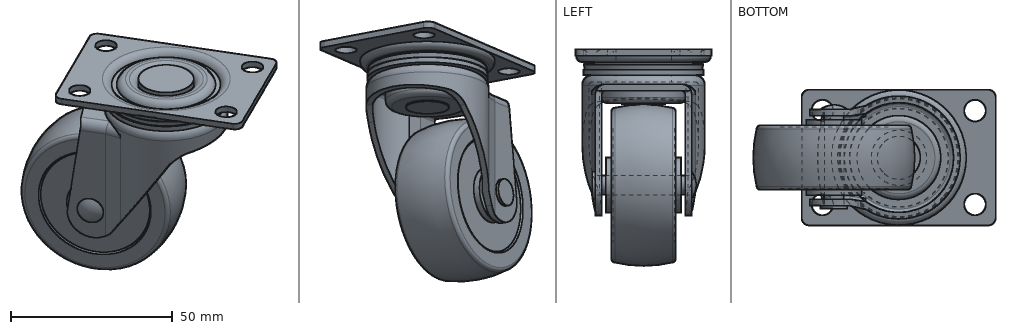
import cadquery as cq
import math


plate_length = 60.0
plate_width = 42.0
plate_thickness = 2.0
plate_corner_radius = 2.5
bolt_spacing_x = 47.1
bolt_spacing_y = 28.95
bolt_hole_radius = 3.3
dish_rim_radius = 19.7
dish_floor_radius = 16.8
dish_outer_radius = 20.85
dish_base_radius = 19.0
bead_outer_radius = 15.3
bead_crest_outer_radius = 12.6
bead_crest_inner_radius = 11.4

stem_radius = 8.55
collar_radius = 15.15
collar_height = 0.2
upper_ring_top_radius = 18.2
upper_ring_rim_radius = 18.45
upper_ring_waist_radius = 18.15
upper_ring_bevel = 0.5
upper_ring_height = 2.1
lower_ring_radius = 18.6
lower_ring_height = 1.65
cup_radius = 13.0
cup_fillet = 1.9
cup_bottom_z = -16.7
rivet_radius = 6.7
rivet_height = 0.4

wheel_radius = 25.0
wheel_width = 20.0
wheel_offset = 20.0
wheel_drop = 42.0
tread_edge_radius = 23.9
tread_edge_inset = 1.1
side_face_radius = 22.6
hub_radius = 8.55
hub_width = 23.25
recess_radius = 18.1
recess_depth = 0.5
axle_radius = 3.0
axle_head_radius = 4.2
flat_head_height = 0.9
domed_head_height = 1.4

sheet_thickness = 2.0
crown_radius = 19.0
crown_fillet = 3.15
tab_drop = 2.85
leg_half_span = 14.85
leg_bend_radius = 3.0
leg_flat_end_x = -15.15
leg_flare_end_x = -10.1
tab_tip_x = -25.1
leg_front_top_x = -23.2
foot_radius = 8.1
foot_center_x = -19.35
foot_center_z = -43.35
rear_edge_angle = 56.3
rear_edge_top = (6.0, -20.4)
skirt_start = (10.95, -16.5)
skirt_end_z = -15.0

dish_bottom_z = -2 * plate_thickness
collar_bottom_z = dish_bottom_z - collar_height
upper_ring_bottom_z = collar_bottom_z - upper_ring_height
crown_top_z = upper_ring_bottom_z - lower_ring_height
crown_underside_z = crown_top_z - sheet_thickness
tab_top_z = crown_top_z - tab_drop
tab_underside_z = tab_top_z - sheet_thickness


def y_cylinder(radius, y_start, y_end):
    """Cylinder on the wheel axis between two Y positions."""
    axis_plane = cq.Plane(origin=(-wheel_offset, y_start, -wheel_drop), xDir=(1, 0, 0), normal=(0, 1, 0))
    return cq.Workplane(axis_plane).circle(radius).extrude(y_end - y_start)


def revolve_about_wheel_axis(half_profile):
    """Turn a profile drawn as (radius, axial) about the wheel axis, which runs along Y."""
    turned = half_profile.close().revolve(360, (0, 0, 0), (0, 1, 0))
    return turned.translate((-wheel_offset, 0, -wheel_drop))


def round_over_radius(run, drop):
    """Radius of an arc that leaves a level face tangentially and falls by `drop` over `run`."""
    return (run**2 + drop**2) / (2 * drop)


def make_plate():
    slab = (
        cq.Workplane("XY")
        .box(plate_length, plate_width, plate_thickness, centered=(True, True, False))
        .translate((0, 0, -plate_thickness))
        .edges("|Z")
        .fillet(plate_corner_radius)
    )
    bolt_holes = (
        cq.Workplane("XY")
        .rect(bolt_spacing_x, bolt_spacing_y, forConstruction=True)
        .vertices()
        .circle(bolt_hole_radius)
        .extrude(-plate_thickness)
    )
    rim_opening = cq.Workplane("XY").circle(dish_rim_radius).extrude(-plate_thickness)

    lip_radius = bead_crest_inner_radius - stem_radius
    rim_round = round_over_radius(dish_rim_radius - dish_floor_radius, plate_thickness)
    bead_round = round_over_radius(bead_outer_radius - bead_crest_outer_radius, plate_thickness)
    dish = (
        cq.Workplane("XZ")
        .moveTo(dish_rim_radius, 0)
        .radiusArc((dish_floor_radius, -plate_thickness), -rim_round)
        .lineTo(bead_outer_radius, -plate_thickness)
        .radiusArc((bead_crest_outer_radius, 0), -bead_round)
        .lineTo(bead_crest_inner_radius, 0)
        .radiusArc((stem_radius, -lip_radius), -lip_radius)
        .lineTo(stem_radius, dish_bottom_z)
        .lineTo(dish_base_radius, dish_bottom_z)
        .radiusArc((dish_outer_radius, -plate_thickness), -plate_thickness)
        .lineTo(dish_outer_radius, -plate_thickness / 2)
        .lineTo(dish_rim_radius, -plate_thickness / 2)
        .close()
        .revolve(360, (0, 0, 0), (0, 1, 0))
    )
    return slab.cut(bolt_holes).cut(rim_opening).union(dish)


def make_spindle():
    """Stem with the two bearing rings above the fork crown and the cup below it."""
    rivet_bottom_z = cup_bottom_z - rivet_height
    return (
        cq.Workplane("XZ")
        .moveTo(0, 0)
        .lineTo(stem_radius, 0)
        .lineTo(stem_radius, dish_bottom_z)
        .lineTo(collar_radius, dish_bottom_z)
        .lineTo(collar_radius, collar_bottom_z)
        .lineTo(upper_ring_top_radius, collar_bottom_z)
        .lineTo(upper_ring_rim_radius, collar_bottom_z - upper_ring_bevel)
        .lineTo(upper_ring_waist_radius, upper_ring_bottom_z)
        .lineTo(lower_ring_radius, upper_ring_bottom_z)
        .lineTo(lower_ring_radius, crown_top_z)
        .lineTo(stem_radius, crown_top_z)
        .lineTo(stem_radius, crown_underside_z)
        .lineTo(cup_radius, crown_underside_z)
        .lineTo(cup_radius, cup_bottom_z + cup_fillet)
        .radiusArc((cup_radius - cup_fillet, cup_bottom_z), cup_fillet)
        .lineTo(rivet_radius, cup_bottom_z)
        .lineTo(rivet_radius, rivet_bottom_z)
        .lineTo(0, rivet_bottom_z)
        .close()
        .revolve(360, (0, 0, 0), (0, 1, 0))
    )


def fork_form(inset):
    """Solid bounded by the fork's outer surface, moved inward by `inset`.

    It runs down past the foot and out past the tab tip, where the side outline trims it.
    """
    form_bottom_z = foot_center_z - 2 * foot_radius
    front_x = 2 * tab_tip_x
    radius = crown_radius - inset
    leg_y = leg_half_span - inset
    flare_y = math.sqrt(radius**2 - leg_flare_end_x**2)

    crown = (
        cq.Workplane("XY", origin=(0, 0, form_bottom_z))
        .circle(radius)
        .extrude(crown_top_z - inset - form_bottom_z)
        .faces(">Z")
        .edges()
        .fillet(crown_fillet - inset)
    )
    behind_strips = cq.Workplane("XY", origin=(leg_flare_end_x, 0, form_bottom_z)).box(
        2 * crown_radius, 2 * crown_radius, tab_underside_z - form_bottom_z, centered=(False, True, False)
    )
    above_tab = cq.Workplane("XY", origin=(0, 0, tab_underside_z)).box(
        2 * crown_radius, 2 * crown_radius, crown_top_z - tab_underside_z, centered=(True, True, False)
    )
    legs = (
        cq.Workplane("XY", origin=(0, 0, form_bottom_z))
        .moveTo(leg_flare_end_x, flare_y)
        .lineTo(leg_flat_end_x, leg_y)
        .lineTo(front_x, leg_y)
        .lineTo(front_x, -leg_y)
        .lineTo(leg_flat_end_x, -leg_y)
        .lineTo(leg_flare_end_x, -flare_y)
        .close()
        .extrude(tab_top_z - inset - form_bottom_z)
        .faces(">Z")
        .edges("not |Y")
        .fillet(leg_bend_radius - inset)
    )
    return crown.intersect(behind_strips.union(above_tab)).union(legs)


def fork_side_outline():
    """Everything inside the fork's outline as seen along Y."""
    slope = math.radians(rear_edge_angle)
    foot_left_x = foot_center_x - foot_radius
    foot_rear = (
        foot_center_x + foot_radius * math.sin(slope),
        foot_center_z - foot_radius * math.cos(slope),
    )
    return (
        cq.Workplane("XZ", origin=(0, crown_radius, 0))
        .moveTo(tab_tip_x, crown_top_z)
        .lineTo(tab_tip_x, tab_underside_z)
        .lineTo(leg_front_top_x, tab_underside_z)
        .lineTo(foot_left_x, foot_center_z)
        .threePointArc((foot_center_x, foot_center_z - foot_radius), foot_rear)
        .lineTo(*rear_edge_top)
        .tangentArcPoint(skirt_start, relative=False)
        .lineTo(crown_radius, skirt_end_z)
        .lineTo(crown_radius, crown_top_z)
        .close()
        .extrude(2 * crown_radius)
    )


def make_fork():
    sheet = fork_form(0).cut(fork_form(sheet_thickness))
    tab_front_trim = (
        cq.Workplane("XY", origin=(0, 0, tab_underside_z))
        .moveTo(leg_front_top_x, -leg_half_span)
        .threePointArc((tab_tip_x, 0), (leg_front_top_x, leg_half_span))
        .lineTo(2 * tab_tip_x, leg_half_span)
        .lineTo(2 * tab_tip_x, -leg_half_span)
        .close()
        .extrude(sheet_thickness)
    )
    stem_bore = cq.Workplane("XY").circle(stem_radius).extrude(crown_underside_z)
    axle_hole = y_cylinder(axle_radius, -leg_half_span, leg_half_span)
    return sheet.intersect(fork_side_outline()).cut(tab_front_trim).cut(stem_bore).cut(axle_hole)


def make_wheel():
    half_width = wheel_width / 2
    half_hub = hub_width / 2
    tread_half = half_width - tread_edge_inset
    return revolve_about_wheel_axis(
        cq.Workplane("XY")
        .moveTo(axle_radius, -half_hub)
        .lineTo(hub_radius, -half_hub)
        .lineTo(hub_radius, recess_depth - half_width)
        .lineTo(recess_radius - recess_depth, recess_depth - half_width)
        .lineTo(recess_radius, -half_width)
        .lineTo(side_face_radius, -half_width)
        .radiusArc((tread_edge_radius, -tread_half), -(tread_edge_radius - side_face_radius))
        .threePointArc((wheel_radius, 0), (tread_edge_radius, tread_half))
        .radiusArc((side_face_radius, half_width), -(tread_edge_radius - side_face_radius))
        .lineTo(recess_radius, half_width)
        .lineTo(recess_radius - recess_depth, half_width - recess_depth)
        .lineTo(hub_radius, half_width - recess_depth)
        .lineTo(hub_radius, half_hub)
        .lineTo(axle_radius, half_hub)
    )


def make_axle():
    """Pin through both legs: domed head on the -Y side, flat head on the +Y side."""
    dome_radius = round_over_radius(axle_head_radius, domed_head_height)
    return revolve_about_wheel_axis(
        cq.Workplane("XY")
        .moveTo(0, leg_half_span + flat_head_height)
        .lineTo(axle_head_radius, leg_half_span + flat_head_height)
        .lineTo(axle_head_radius, leg_half_span)
        .lineTo(axle_radius, leg_half_span)
        .lineTo(axle_radius, -leg_half_span)
        .lineTo(axle_head_radius, -leg_half_span)
        .radiusArc((0, -leg_half_span - domed_head_height), dome_radius)
    )


plate = make_plate()
spindle = make_spindle()
fork = make_fork()
wheel = make_wheel()
axle = make_axle()

bodies = [plate, spindle, fork, wheel, axle]
result = cq.Compound.makeCompound([body.solids().val() for body in bodies])